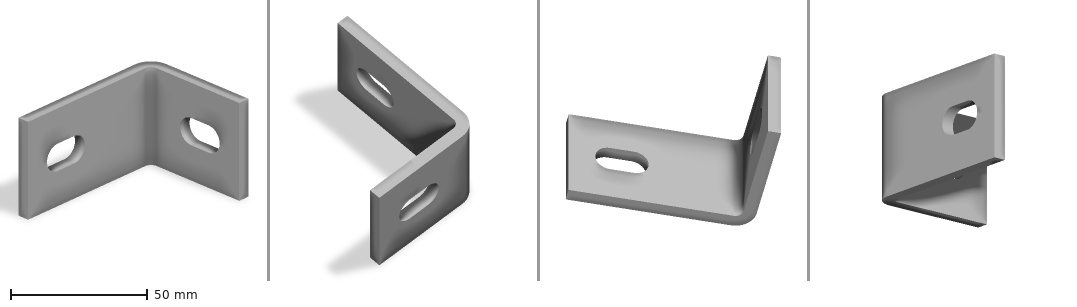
import cadquery as cq

long_leg = 70.0
short_leg = 50.0
height = 40.0
thickness = 5.0
inner_bend_radius = 3.0
outer_bend_radius = inner_bend_radius + thickness

slot_length = 20.0
slot_width = 11.1
slot_end_margin = 10.0
slot_center_from_end = slot_end_margin + slot_length / 2


def bent_plate():
    """L profile with its outer corner at (0, long_leg), extruded upward."""
    plate = (
        cq.Workplane("XY")
        .moveTo(0, 0)
        .lineTo(thickness, 0)
        .lineTo(thickness, long_leg - outer_bend_radius)
        .radiusArc((outer_bend_radius, long_leg - thickness), inner_bend_radius)
        .lineTo(short_leg, long_leg - thickness)
        .lineTo(short_leg, long_leg)
        .lineTo(outer_bend_radius, long_leg)
        .radiusArc((0, long_leg - outer_bend_radius), -outer_bend_radius)
        .close()
        .extrude(height)
    )
    return plate


def slot_cutter(plane_name, center):
    """Horizontal slot centred on the given point, cutting through one leg."""
    return (
        cq.Workplane(plane_name, origin=center)
        .slot2D(slot_length, slot_width)
        .extrude(thickness, both=True)
    )


short_leg_slot = slot_cutter("XZ", (short_leg - slot_center_from_end, long_leg, height / 2))
long_leg_slot = slot_cutter("YZ", (0, slot_center_from_end, height / 2))

result = bent_plate().cut(short_leg_slot).cut(long_leg_slot)